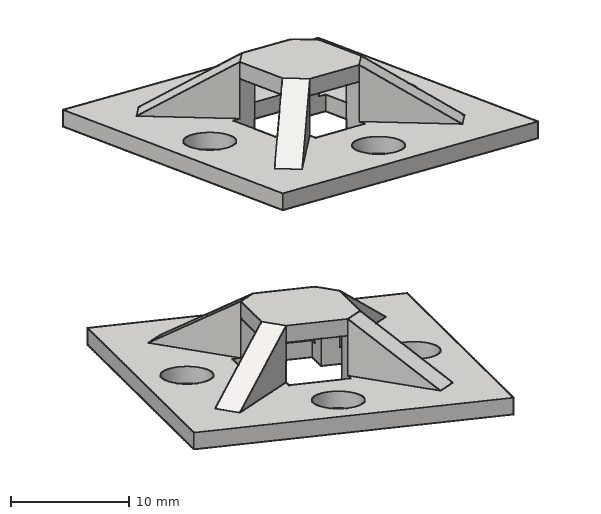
import cadquery as cq
import math

plate_side = 28.45
plate_thickness = 1.5
total_height = 6.57

hole_diameter = 4.5
hole_offset = 10.1

cap_side = 8.8
cap_thickness = 1.5
rib_width = 2.33
cap_flat = cap_side - math.sqrt(2) * rib_width
rib_start = (cap_side + cap_flat) / 2 / math.sqrt(2)
rib_end = 13.8

opening_length = 10.3
opening_width = cap_flat


def make_plate():
    plate = cq.Workplane("XY").box(plate_side, plate_side, plate_thickness, centered=(True, True, False))
    holes = (
        cq.Workplane("XY")
        .polarArray(hole_offset, 0, 360, 4)
        .circle(hole_diameter / 2)
        .extrude(plate_thickness)
    )
    return plate.cut(holes)


def make_core():
    """Solid block from the plate's underside to the top of the cap."""
    return (
        cq.Workplane("XY")
        .rect(cap_side, cap_side)
        .extrude(total_height)
        .edges("|Z")
        .chamfer((cap_side - cap_flat) / 2)
    )


def make_rib(angle):
    """Triangular rib sloping from the cap's top down to the plate."""
    return (
        cq.Workplane("XZ")
        .moveTo(rib_start, plate_thickness)
        .lineTo(rib_end, plate_thickness)
        .lineTo(rib_start, total_height)
        .close()
        .extrude(rib_width / 2, both=True)
        .rotate((0, 0, 0), (0, 0, 1), angle)
    )


def make_opening():
    """Crossing passages that leave the cap standing on four corner posts."""
    opening_height = total_height - cap_thickness
    passage = cq.Workplane("XY").rect(opening_length, opening_width).extrude(opening_height)
    crossing = passage.rotate((0, 0, 0), (0, 0, 1), 90)
    return passage.union(crossing)


result = make_plate().union(make_core())
for rib_angle in (45, 135, 225, 315):
    result = result.union(make_rib(rib_angle))
result = result.cut(make_opening())